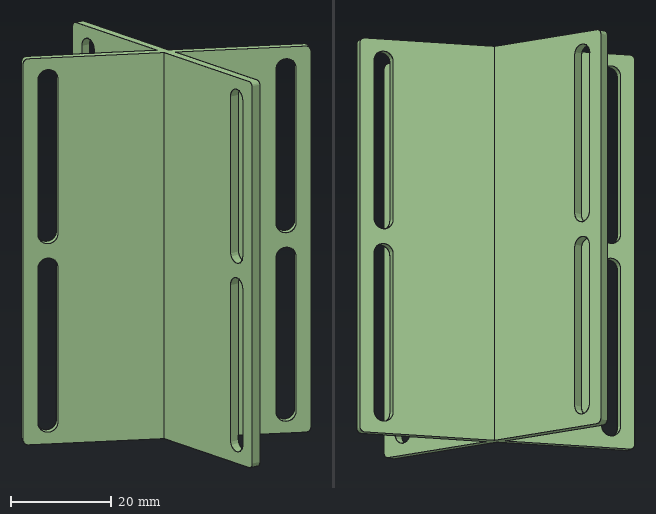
import cadquery as cq

height = 80.0
plate_length = 58.3
thickness = 2.0
plate_angle = 30.9
corner_radius = 1.0

slot_width = 4.0
slot_length = 36.0
slot_gap = 3.0
slot_edge_distance = 5.0

slot_x = plate_length / 2 - slot_edge_distance
slot_z = (slot_length + slot_gap) / 2


def slotted_plate(angle):
    """Upright plate with rounded corners and four through slots."""
    plate = cq.Workplane("XY").box(plate_length, thickness, height)
    plate = plate.edges("|Y").fillet(corner_radius)
    slot_centers = [(x, z) for x in (-slot_x, slot_x) for z in (-slot_z, slot_z)]
    slots = (
        cq.Workplane("XZ")
        .pushPoints(slot_centers)
        .slot2D(slot_length, slot_width, 90)
        .extrude(thickness, both=True)
    )
    return plate.cut(slots).rotate((0, 0, 0), (0, 0, 1), angle)


result = slotted_plate(plate_angle).union(slotted_plate(-plate_angle))